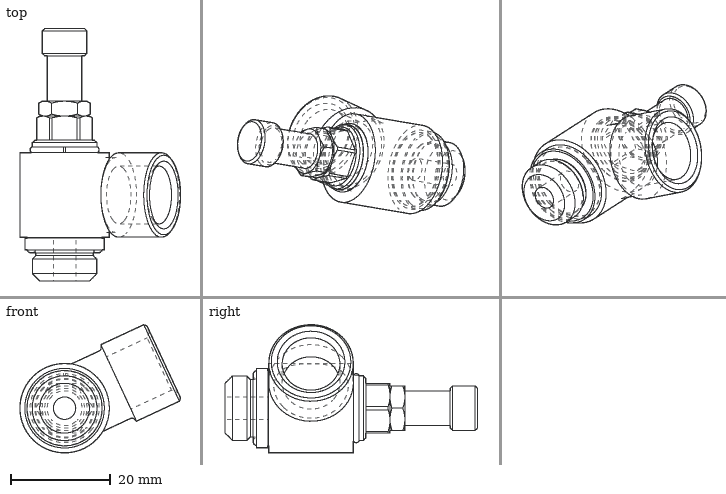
import cadquery as cq
import math


BODY_DIA = 18.0
BODY_LENGTH = 17.0
BODY_END = BODY_LENGTH / 2

PORT_ANGLE = 25.0
PORT_AXIS = (math.cos(math.radians(PORT_ANGLE)), 0, math.sin(math.radians(PORT_ANGLE)))
PORT_PROFILE_NORMAL = (-PORT_AXIS[2], 0, PORT_AXIS[0])
PORT_REACH = 22.0
PORT_HEAD_LENGTH = 10.0
PORT_HEAD_DIA = 17.0
PORT_HEAD_CHAMFER = 0.5
PORT_NECK_DIA = 15.0
PORT_SHOULDER_LENGTH = 0.45
PORT_SHOULDER_FILLET = 0.5
PORT_NECK_FILLET = 0.5
PORT_BORE_DIA = 11.6
PORT_MOUTH_DIA = 13.6
PORT_BORE_DEPTH = PORT_HEAD_LENGTH

COLLAR_DIA = 16.0
COLLAR_LENGTH = 2.5
COLLAR_GAP = 0.15
COLLAR_GAP_DIA = 15.0
SEAL_SECTION_DIA = 1.8
SEAL_RECESS = 0.25
UNDERCUT_DIA = 11.6
UNDERCUT_LENGTH = 1.2
THREAD_DIA = 13.0
THREAD_LENGTH = 5.1
THREAD_END_CHAMFER = 1.5
STEM_HOLE_DIA = 4.5
STEM_HOLE_DEPTH = COLLAR_LENGTH + UNDERCUT_LENGTH + THREAD_LENGTH

RING_ROOT_DIA = 13.2
RING_CREST_DIA = 13.9
RING_WIDTH = 1.15
RING_GAP = 0.45
RING_GAP_FLOOR_DIA = 13.05
FLANGE_DIA = 13.05
FLANGE_TOP_DIA = 11.95
FLANGE_STRAIGHT_LENGTH = 0.85
FLANGE_CHAMFER_LENGTH = 0.5
HEX_FLATS = 10.0
HEX_TURNED_DIA = 11.2
HEX_LENGTH = 4.85
NUT_FLATS = 9.0
NUT_LENGTH = 3.0
HEX_CHAMFER_ANGLE = 30.0

SCREW_DIA = 7.0
SCREW_EXPOSED_LENGTH = 9.1
KNOB_DIA = 9.0
KNOB_LENGTH = 5.5
KNOB_CHAMFER = 0.5

COLLAR_FACE = -BODY_END - COLLAR_LENGTH
THREAD_START = COLLAR_FACE - UNDERCUT_LENGTH
STEM_END = THREAD_START - THREAD_LENGTH
RING_TOP = BODY_END + RING_WIDTH
FLANGE_EDGE = RING_TOP + FLANGE_STRAIGHT_LENGTH
FLANGE_TOP = FLANGE_EDGE + FLANGE_CHAMFER_LENGTH
HEX_TOP = FLANGE_TOP + HEX_LENGTH
NUT_TOP = HEX_TOP + NUT_LENGTH
KNOB_START = NUT_TOP + SCREW_EXPOSED_LENGTH


def cylinder_y(diameter, start, end):
    """Cylinder on the Y axis between two Y positions."""
    plane = cq.Plane(origin=(0, start, 0), xDir=(1, 0, 0), normal=(0, 1, 0))
    return cq.Workplane(plane).circle(diameter / 2).extrude(end - start)


def revolve_y(profile):
    """Full turn of an XY profile about the Y axis."""
    return profile.close().revolve(360, (0, 0, 0), (0, 1, 0))


def port_plane(distance):
    """Plane across the port axis at a distance from the main axis."""
    origin = tuple(distance * component for component in PORT_AXIS)
    return cq.Plane(origin=origin, xDir=(0, 1, 0), normal=PORT_AXIS)


def make_port():
    """Neck, conical shoulder and head as one turned piece along the port axis."""
    neck_radius = PORT_NECK_DIA / 2
    head_radius = PORT_HEAD_DIA / 2
    head_start = PORT_REACH - PORT_HEAD_LENGTH
    profile_plane = cq.Plane(origin=(0, 0, 0), xDir=PORT_AXIS, normal=PORT_PROFILE_NORMAL)
    port = (
        cq.Workplane(profile_plane)
        .lineTo(0, neck_radius)
        .lineTo(head_start - PORT_SHOULDER_LENGTH, neck_radius)
        .lineTo(head_start, head_radius)
        .lineTo(PORT_REACH - PORT_HEAD_CHAMFER, head_radius)
        .lineTo(PORT_REACH, head_radius - PORT_HEAD_CHAMFER)
        .lineTo(PORT_REACH, 0)
        .close()
        .revolve(360, (0, 0, 0), (1, 0, 0))
    )
    second_along_port = cq.selectors.CenterNthSelector(cq.Vector(*PORT_AXIS), 1)
    return port.edges("%CIRCLE").edges(second_along_port).fillet(PORT_SHOULDER_FILLET)


def make_body_with_port():
    body = cylinder_y(BODY_DIA, -BODY_END, BODY_END).union(make_port())
    body = body.edges("not(%CIRCLE or %LINE)").fillet(PORT_NECK_FILLET)

    end_face = cq.Workplane(port_plane(PORT_REACH))
    bore = end_face.circle(PORT_BORE_DIA / 2).extrude(-PORT_BORE_DEPTH)
    mouth_depth = (PORT_MOUTH_DIA - PORT_BORE_DIA) / 2
    mouth = (
        end_face.circle(PORT_MOUTH_DIA / 2)
        .workplane(offset=-mouth_depth)
        .circle(PORT_BORE_DIA / 2)
        .loft()
    )
    return body.cut(bore).cut(mouth)


def make_threaded_stem():
    relief_height = (THREAD_DIA - UNDERCUT_DIA) / 2
    profile = (
        cq.Workplane("XY")
        .moveTo(0, -BODY_END)
        .lineTo(COLLAR_GAP_DIA / 2, -BODY_END)
        .lineTo(COLLAR_GAP_DIA / 2, -BODY_END - COLLAR_GAP)
        .lineTo(COLLAR_DIA / 2, -BODY_END - COLLAR_GAP)
        .lineTo(COLLAR_DIA / 2, COLLAR_FACE)
        .lineTo(UNDERCUT_DIA / 2, COLLAR_FACE)
        .lineTo(UNDERCUT_DIA / 2, THREAD_START)
        .lineTo(THREAD_DIA / 2, THREAD_START - relief_height)
        .lineTo(THREAD_DIA / 2, STEM_END + THREAD_END_CHAMFER)
        .lineTo(THREAD_DIA / 2 - THREAD_END_CHAMFER, STEM_END)
        .lineTo(0, STEM_END)
    )
    seal = cq.Workplane(
        cq.Solid.makeTorus(
            (UNDERCUT_DIA + SEAL_SECTION_DIA) / 2,
            SEAL_SECTION_DIA / 2,
            cq.Vector(0, COLLAR_FACE + SEAL_RECESS, 0),
            cq.Vector(0, 1, 0),
        )
    )
    hole = cylinder_y(STEM_HOLE_DIA, STEM_END, STEM_END + STEM_HOLE_DEPTH)
    return revolve_y(profile).union(seal).cut(hole)


def make_ring_and_flange():
    profile = (
        cq.Workplane("XY")
        .moveTo(0, BODY_END)
        .lineTo(RING_ROOT_DIA / 2, BODY_END)
        .threePointArc(
            (RING_CREST_DIA / 2, BODY_END + RING_WIDTH / 2),
            (RING_ROOT_DIA / 2, RING_TOP),
        )
        .lineTo(FLANGE_DIA / 2, RING_TOP)
        .lineTo(FLANGE_DIA / 2, FLANGE_EDGE)
        .lineTo(FLANGE_TOP_DIA / 2, FLANGE_TOP)
        .lineTo(0, FLANGE_TOP)
    )
    gap = (
        cq.Workplane("XY", origin=(0, BODY_END + RING_WIDTH / 2, RING_GAP_FLOOR_DIA / 2))
        .rect(RING_GAP, RING_WIDTH)
        .extrude(RING_CREST_DIA - RING_GAP_FLOOR_DIA)
    )
    return revolve_y(profile).cut(gap)


def hex_corner_dia(flats):
    """Width across the sharp corners of a hexagon."""
    return flats / math.cos(math.pi / 6)


def hexagon_y(flats, start, end, turned_dia, chamfer_start):
    """Hexagon with flats facing +Z and -Z, turned to a diameter.

    Its corners are chamfered from the inscribed circle outwards, at the far end or at both ends.
    """
    plane = cq.Plane(origin=(0, start, 0), xDir=(1, 0, 0), normal=(0, 1, 0))
    prism = cq.Workplane(plane).polygon(6, hex_corner_dia(flats)).extrude(end - start)
    rise = (turned_dia - flats) / 2 * math.tan(math.radians(HEX_CHAMFER_ANGLE))
    envelope = cq.Workplane("XY").moveTo(0, start)
    if chamfer_start:
        envelope = envelope.lineTo(flats / 2, start).lineTo(turned_dia / 2, start + rise)
    else:
        envelope = envelope.lineTo(turned_dia / 2, start)
    envelope = (
        envelope.lineTo(turned_dia / 2, end - rise)
        .lineTo(flats / 2, end)
        .lineTo(0, end)
    )
    return prism.intersect(revolve_y(envelope))


def make_hexagons():
    hexagon = hexagon_y(HEX_FLATS, FLANGE_TOP, HEX_TOP, HEX_TURNED_DIA, chamfer_start=False)
    nut = hexagon_y(NUT_FLATS, HEX_TOP, NUT_TOP, hex_corner_dia(NUT_FLATS), chamfer_start=True)
    return hexagon.union(nut)


def make_screw():
    screw = cylinder_y(SCREW_DIA, NUT_TOP, KNOB_START)
    knob = cylinder_y(KNOB_DIA, KNOB_START, KNOB_START + KNOB_LENGTH)
    return screw.union(knob.faces("<Y or >Y").chamfer(KNOB_CHAMFER))


result = (
    make_body_with_port()
    .union(make_threaded_stem())
    .union(make_ring_and_flange())
    .union(make_hexagons())
    .union(make_screw())
)